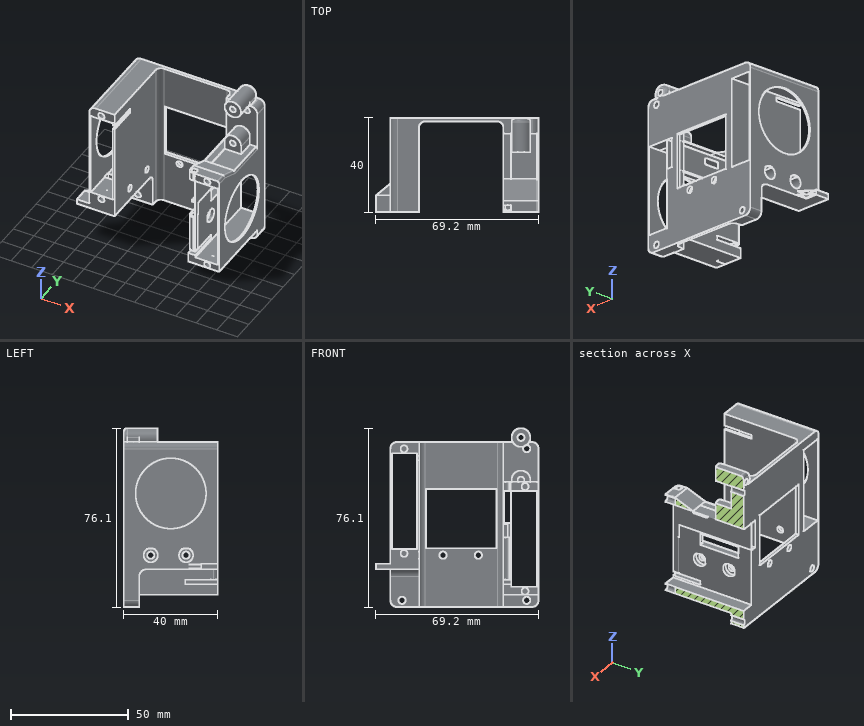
import cadquery as cq


body_width = 63.1
body_depth = 40.0
body_height = 70.25
corner_radius = 3.0
flange_thickness = 6.6
flange_front = body_depth - flange_thickness
plate_thickness = 1.5
left_wall_width = 12.25
channel_width = 35.8
channel_fillet = 2.5
right_wall_start = left_wall_width + channel_width
outer_skin = 0.75

left_wall_bottom = 16.05
left_pocket_width = 10.6
left_pocket_bottom = 24.7
pocket_height = 40.6

right_wall_bottom = 5.2
right_wall_top = 53.3
roof_back_height = 49.7
ramp_front = 4.95
ramp_back = 14.15
roof_edge_fillet = 1.0
right_inner_thickness = 3.5
right_pocket_start = right_wall_start + right_inner_thickness
right_pocket_end = body_width - outer_skin
right_pocket_bottom = 8.7
right_pocket_top = right_pocket_bottom + pocket_height

fan_diameter = 30.0
fan_end_distance = 17.05

skin_behind_recess = 0.2
recess_end = right_pocket_start - skin_behind_recess
recess_bottom = 35.85
recess_flange_lip = 0.5
groove_bottom = 29.7
groove_lip = 0.6
groove_depth = 1.8
groove_stop_depth = 13.9
skin_slot_length = 7.6
skin_slot_height = 3.05
skin_slot_bottom = 44.3
skin_slot_fillet = 0.75

clip_outer_radius = 1.9
clip_bore_radius = 1.15
clip_mouth_width = 0.7
clip_pocket_fillet = 0.6
clip_x = right_wall_start + clip_outer_radius
clip_y = clip_outer_radius

spring_slot_length = 13.9
spring_slot_height = 1.9
spring_slot_margin = 1.1
spring_slot_fillet = 0.3

screw_diameter = 3.0
screw_depth = 4.95
left_screw_x = 5.85
right_screw_x = 57.3
screw_end_distance = 1.9
cross_hole_height = 22.1
cross_hole_pitch = 15.0
plate_hole_x = 22.45
wall_hole_y = 13.55
bore_diameter = 6.0
bore_seat = 1.5
mount_hole_left = 5.0
mount_hole_inset = 5.1
mount_hole_edge = 2.9

window_start = 15.2
window_width = 29.9
window_bottom = 25.0
window_height = 25.1

boss_diameter = 8.0
boss_hole_diameter = 2.8
boss_length = 14.45
boss_back_fillet = 1.5
boss_x = 55.55
overall_height = 76.1
upper_boss_height = overall_height - boss_diameter / 2
lower_boss_height = 54.0

tab_reach = 6.1
tab_thickness = 2.4
tab_tip_depth = 7.15
tab_root_depth = 12.2
gusset_thickness = 0.3
gusset_inset = 0.2


def box(x_start, x_end, y_start, y_end, z_start, z_end):
    """Box between two corners."""
    size = (x_end - x_start, y_end - y_start, z_end - z_start)
    return cq.Workplane("XY").box(*size, centered=False).translate((x_start, y_start, z_start))


def rod_along_y(x, z, diameter, y_start, y_end):
    """Cylinder parallel to Y."""
    plane = cq.Workplane("XZ", origin=(x, y_start, z))
    return plane.circle(diameter / 2).extrude(y_start - y_end)


def rod_along_x(y, z, diameter, x_start, x_end):
    """Cylinder parallel to X."""
    plane = cq.Workplane("YZ", origin=(x_start, y, z))
    return plane.circle(diameter / 2).extrude(x_end - x_start)


def frame():
    """Flanged back plate with rounded corners and the wide channel down its middle."""
    slab = box(0, body_width, flange_front, body_depth, 0, body_height)
    slab = slab.edges("|Y").fillet(corner_radius)
    channel = box(left_wall_width, right_wall_start, 0, body_depth - plate_thickness, 0, body_height)
    channel = channel.edges("|Z and >Y").fillet(channel_fillet)
    window = box(window_start, window_start + window_width, 0, body_depth,
                 window_bottom, window_bottom + window_height)
    return slab.cut(channel).cut(window)


def spring_slot(x_start, x_end, z_bottom):
    """Slot from the front edge with rounded corners at its blind end."""
    slot = box(x_start, x_end, 0, spring_slot_length, z_bottom, z_bottom + spring_slot_height)
    return slot.edges("|X and >Y").fillet(spring_slot_fillet)


def left_wall():
    """Wall in front of the left flange, with a concave fillet under it at the flange."""
    wall = box(0, left_wall_width, 0, body_depth, left_wall_bottom, body_height)
    wall = wall.edges("|Y and <X and >Z").fillet(corner_radius)
    web = box(0, left_wall_width, flange_front - corner_radius, flange_front,
              left_wall_bottom - corner_radius, left_wall_bottom)
    hollow = rod_along_x(flange_front - corner_radius, left_wall_bottom - corner_radius,
                         2 * corner_radius, 0, left_wall_width)
    return wall.union(web.cut(hollow))


def left_wall_cuts():
    """Pocket, round opening and spring slot of the left wall."""
    pocket_end = outer_skin + left_pocket_width
    pocket_top = left_pocket_bottom + pocket_height
    pocket = box(outer_skin, pocket_end, 0, body_depth, left_pocket_bottom, pocket_top)
    opening = rod_along_x(body_depth / 2, pocket_top - fan_end_distance, fan_diameter, 0, outer_skin)
    slot_bottom = pocket_top - spring_slot_margin - spring_slot_height
    return pocket.union(opening).union(spring_slot(pocket_end, left_wall_width, slot_bottom))


def right_wall():
    """Wall in front of the right flange with a ramped roof and rounded outer roof edges."""
    profile = [
        (0, right_wall_bottom),
        (0, right_wall_top),
        (ramp_front, right_wall_top),
        (ramp_back, roof_back_height),
        (flange_front, roof_back_height),
        (flange_front, right_wall_bottom),
    ]
    wall = cq.Workplane("YZ", origin=(right_wall_start, 0, 0)).polyline(profile).close()
    wall = wall.extrude(body_width - right_wall_start)
    roof_edges = cq.selectors.BoxSelector(
        (body_width - outer_skin, -outer_skin, roof_back_height - outer_skin),
        (body_width + outer_skin, flange_front - outer_skin, right_wall_top + outer_skin),
    )
    return wall.edges(roof_edges).fillet(roof_edge_fillet)


def right_wall_cuts():
    """Pocket, round opening, side recess, card groove and spring slot of the right wall."""
    pocket = box(right_pocket_start, right_pocket_end, 0, body_depth, right_pocket_bottom, right_pocket_top)
    opening = rod_along_x(body_depth / 2, right_pocket_bottom + fan_end_distance, fan_diameter,
                          right_pocket_end, body_width)

    recess = box(right_wall_start, recess_end, 0, flange_front, recess_bottom, right_pocket_top)
    flange_notch = box(right_wall_start + recess_flange_lip, recess_end, 0, body_depth,
                       recess_bottom, right_pocket_top)
    skin_slot = box(recess_end, right_pocket_start,
                    spring_slot_length - skin_slot_length / 2, spring_slot_length + skin_slot_length / 2,
                    skin_slot_bottom, skin_slot_bottom + skin_slot_height)
    skin_slot = skin_slot.edges("|X").fillet(skin_slot_fillet)

    clip_clearance = box(right_wall_start, recess_end, 0, clip_y + clip_bore_radius,
                         groove_bottom, recess_bottom)
    groove_top = recess_bottom - groove_lip
    groove = box(right_wall_start, right_wall_start + groove_depth, 0, flange_front,
                 groove_bottom, groove_top)
    groove_opening = box(right_wall_start, right_pocket_start, groove_stop_depth, flange_front,
                         groove_bottom, groove_top)

    slot = spring_slot(right_wall_start, right_pocket_start, right_pocket_bottom + spring_slot_margin)
    cuts = pocket
    for cut in (opening, recess, flange_notch, skin_slot, clip_clearance, groove, groove_opening, slot):
        cuts = cuts.union(cut)
    return cuts


def clip_cuts():
    """Hook-shaped hollow of the hinge clip with its mouth, and the rounding of its outer corner."""
    bottom = right_pocket_bottom + spring_slot_margin + spring_slot_height
    height = right_wall_top - bottom
    base = cq.Workplane("XY", origin=(clip_x, clip_y, bottom))
    bore = base.circle(clip_bore_radius).extrude(height)
    pocket = box(clip_x - clip_bore_radius, recess_end, clip_y, clip_y + clip_bore_radius,
                 bottom, right_wall_top)
    pocket = pocket.edges("|Z and >Y").fillet(clip_pocket_fillet)
    mouth = box(recess_end - clip_mouth_width, recess_end, 0, clip_y, bottom, right_wall_top)
    corner = box(right_wall_start, clip_x, 0, clip_y, bottom, right_wall_top)
    corner = corner.cut(base.circle(clip_outer_radius).extrude(height))
    return bore.union(pocket).union(mouth).union(corner)


def boss(z, z_foot, back_fillet):
    """Round boss on a straight-sided foot; returns the part standing on the right flange."""
    radius = boss_diameter / 2
    front = body_depth - boss_length
    post = rod_along_y(boss_x, z, boss_diameter, front, body_depth)
    if back_fillet:
        post = post.faces(">Y").edges().fillet(boss_back_fillet)
        foot_front = flange_front
    else:
        foot_front = front
    foot_back = body_depth - boss_back_fillet
    return post.union(box(boss_x - radius, boss_x + radius, foot_front, foot_back, z_foot, z))


def tab():
    """Flat tab beside the left wall, braced at the back by a pair of thin triangular gussets."""
    plate = box(-tab_reach, 0, 0, tab_tip_depth, left_wall_bottom, left_wall_bottom + tab_thickness)
    triangle = [
        (0, tab_tip_depth),
        (-tab_reach, tab_tip_depth),
        (0, tab_root_depth),
    ]
    for offset in (gusset_inset, tab_thickness - gusset_inset - gusset_thickness):
        base = cq.Workplane("XY", origin=(0, 0, left_wall_bottom + offset))
        plate = plate.union(base.polyline(triangle).close().extrude(gusset_thickness))
    return plate


def drill_holes(body):
    """Screw holes, cross holes, mounting holes and boss holes."""
    pockets = (
        (left_screw_x, left_pocket_bottom),
        (right_screw_x, right_pocket_bottom),
    )
    for x, pocket_bottom in pockets:
        for z in (pocket_bottom - screw_end_distance, pocket_bottom + pocket_height + screw_end_distance):
            body = body.cut(rod_along_y(x, z, screw_diameter, 0, screw_depth))

    for step in (0, cross_hole_pitch):
        y = wall_hole_y + step
        body = body.cut(rod_along_y(plate_hole_x + step, cross_hole_height, screw_diameter, 0, body_depth))
        body = body.cut(rod_along_x(y, cross_hole_height, screw_diameter, 0, right_pocket_start))
        body = body.cut(rod_along_x(y, cross_hole_height, bore_diameter, 0, left_wall_width - bore_seat))
        body = body.cut(rod_along_x(y, cross_hole_height, bore_diameter,
                                    right_wall_start + bore_seat, right_pocket_start))

    mount_hole_right = body_width - mount_hole_inset
    mount_holes = (
        (mount_hole_left, mount_hole_edge),
        (mount_hole_right, mount_hole_edge),
        (mount_hole_right, body_height - mount_hole_edge),
    )
    for x, z in mount_holes:
        body = body.cut(rod_along_y(x, z, screw_diameter, flange_front, body_depth))

    boss_front = body_depth - boss_length
    body = body.cut(rod_along_y(boss_x, upper_boss_height, boss_hole_diameter, boss_front, body_depth))
    return body.cut(rod_along_y(boss_x, lower_boss_height, boss_hole_diameter, boss_front, flange_front))


solid = frame().union(left_wall()).union(right_wall()).union(tab())
solid = solid.union(boss(upper_boss_height, body_height - corner_radius, True))
solid = solid.union(boss(lower_boss_height, roof_back_height, False))
solid = solid.cut(left_wall_cuts()).cut(right_wall_cuts()).cut(clip_cuts())
result = drill_holes(solid)